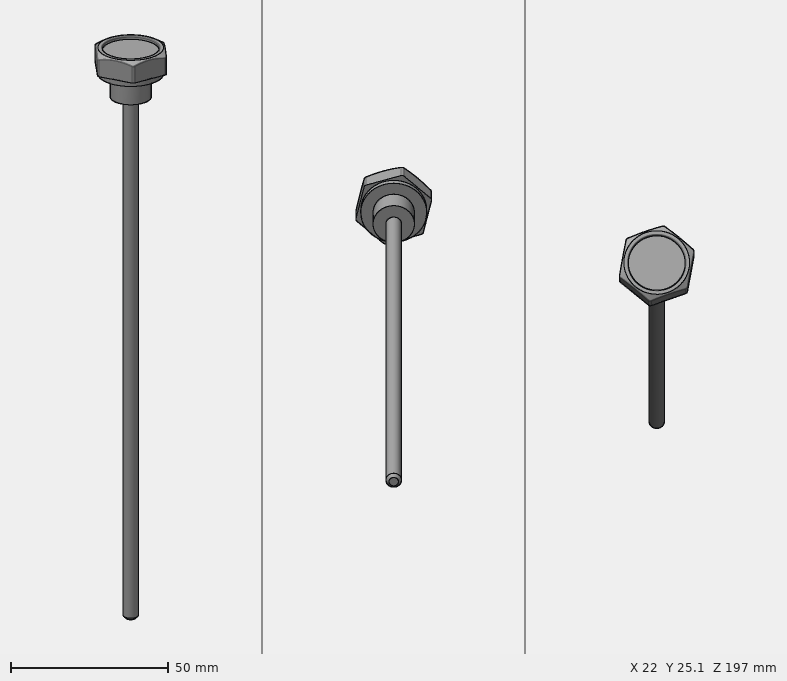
import cadquery as cq
import math

overall_length = 197.0

head_across_flats = 22.0
head_height = 7.0
head_corner_radius = 1.0
bevel_top_diameter = 0.95 * head_across_flats
bevel_angle = 30.0

recess_diameter = 18.1
recess_depth = 1.0

edge_radius = 0.25

flange_diameter = 21.0
flange_height = 2.0
shank_diameter = 13.16
shank_length = 8.0
rod_diameter = 5.0
rod_tip_chamfer = 1.0

head_across_corners = head_across_flats / math.cos(math.radians(30))
head_top = flange_height + head_height
rod_end = head_top - overall_length


def cylinder(diameter, bottom, top):
    """Cylinder on the Z axis between two heights."""
    return cq.Workplane("XY").workplane(offset=bottom).circle(diameter / 2).extrude(top - bottom)


def bevel_envelope():
    """Cylinder with a conical upper rim, which trims the upper corners of the hexagon."""
    top_radius = bevel_top_diameter / 2
    outer_radius = head_across_corners / 2
    bevel_drop = (outer_radius - top_radius) * math.tan(math.radians(bevel_angle))
    outline = [
        (0, flange_height),
        (outer_radius, flange_height),
        (outer_radius, head_top - bevel_drop),
        (top_radius, head_top),
        (0, head_top),
    ]
    return cq.Workplane("XZ").polyline(outline).close().revolve(360, (0, 0), (0, 1))


def bevelled_hexagon():
    """Hexagon with flats facing +X and -X, rounded corners and a rounded-off bevel at the top."""
    hexagon = (
        cq.Workplane("XY")
        .workplane(offset=flange_height)
        .transformed(rotate=(0, 0, 90))
        .polygon(6, head_across_corners)
        .extrude(head_height)
        .edges("|Z")
        .fillet(head_corner_radius)
    )
    bevelled = hexagon.intersect(bevel_envelope())
    return bevelled.edges("not(|Z or <Z or >Z)").fillet(edge_radius)


def hex_head():
    """Bevelled hexagon with a round recess whose mouth is rounded."""
    recess = cylinder(recess_diameter, head_top - recess_depth, head_top)
    head = bevelled_hexagon().cut(recess)
    recess_mouth = cq.selectors.RadiusNthSelector(0)
    return head.faces(">Z").edges(recess_mouth).fillet(edge_radius)


def rod():
    """Long rod running from the shank down to a chamfered tip."""
    return cylinder(rod_diameter, rod_end, -shank_length).faces("<Z").chamfer(rod_tip_chamfer)


flange = cylinder(flange_diameter, 0, flange_height)
shank = cylinder(shank_diameter, -shank_length, 0)

result = hex_head().union(flange).union(shank).union(rod())